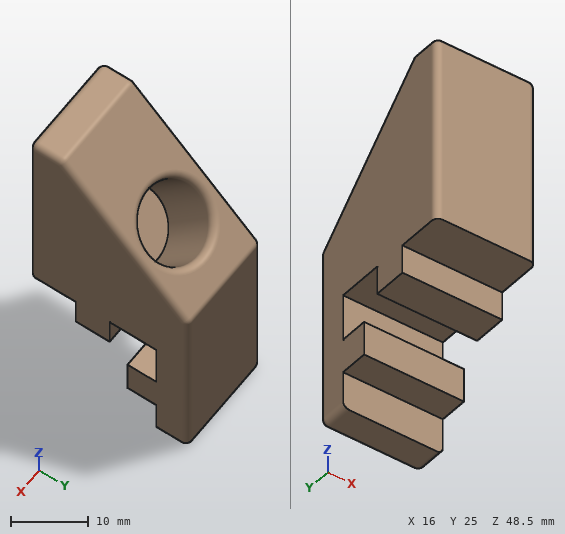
import cadquery as cq

width = 16.0
depth = 25.0
height = 48.5
edge_radius = 1.0

wall_thickness = 5.0
shelf_height = 18.5
tab_gap = 7.3
tab_width = 5.4
tab_length = 4.5

hole_diameter = 11.4
hole_depth = 10.0
hole_rim_radius = 1.1
hole_from_rear = 7.45

inner_y = depth - wall_thickness
slope_foot_z = height - inner_y


def make_body():
    """Extrude the side outline across the width, centred on X = 0."""
    upper_tab_rear = inner_y - tab_gap
    upper_tab_front = upper_tab_rear - tab_width
    lower_tab_top = shelf_height - tab_gap
    lower_tab_bottom = lower_tab_top - tab_width
    outline = [
        (0, shelf_height),
        (0, height),
        (wall_thickness, height),
        (depth, slope_foot_z),
        (depth, 0),
        (inner_y, 0),
        (inner_y, lower_tab_bottom),
        (inner_y - tab_length, lower_tab_bottom),
        (inner_y - tab_length, lower_tab_top),
        (inner_y, lower_tab_top),
        (inner_y, shelf_height),
        (upper_tab_rear, shelf_height),
        (upper_tab_rear, shelf_height - tab_length),
        (upper_tab_front, shelf_height - tab_length),
        (upper_tab_front, shelf_height),
    ]
    return cq.Workplane("YZ").polyline(outline).close().extrude(width / 2, both=True)


def round_outer_edges(body):
    """Round the outer edges of the block; the stepped inner side stays sharp."""
    slope_sides = body.edges(cq.selectors.ParallelDirSelector(cq.Vector(0, 1, -1)))
    rounded_edges = (
        slope_sides
        .add(body.faces(">Z").edges())
        .add(body.faces(">Y").edges())
        .add(body.faces("<Y").edges("|Z"))
        .add(body.faces("<Z").edges("|Y"))
    )
    return rounded_edges.fillet(edge_radius)


def cut_hole(body):
    """Cut the flat-bottomed hole into the slope, with a rounded rim."""
    mouth_y = depth - hole_from_rear
    mouth_z = slope_foot_z + hole_from_rear
    mouth = cq.Plane(origin=(0, mouth_y, mouth_z), xDir=(1, 0, 0), normal=(0, 1, 1))
    hole = cq.Workplane(mouth).circle(hole_diameter / 2).extrude(-hole_depth)
    outermost = cq.selectors.DirectionMinMaxSelector(cq.Vector(0, 1, 1), True)
    return body.cut(hole).edges("%CIRCLE").edges(outermost).fillet(hole_rim_radius)


result = cut_hole(round_outer_edges(make_body()))